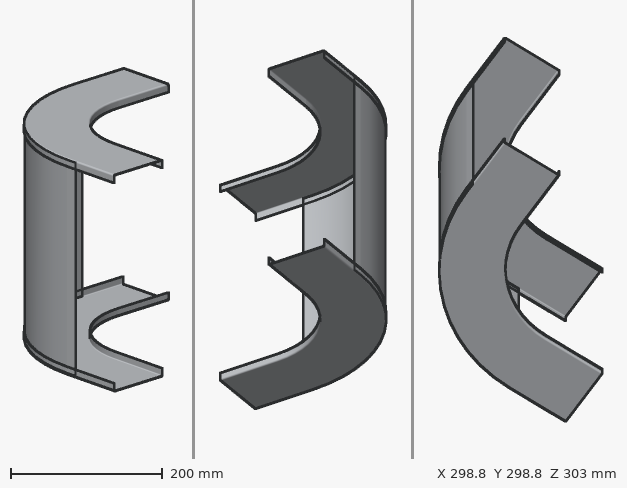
import cadquery as cq
import math

height = 303.0
span = 298.8
width = 88.0
bend_radius = 208.5
flange_height = 11.5
fold_radius = 2.5
sheet_thickness = 1.0
wall_straight = 15.0

channel_straight = span - bend_radius


def bend_prism(outer_inset, inner_inset, straight, bottom, top):
    """Vertical prism over a quarter bend that has a straight run at both ends.

    The insets are measured from the outer and inner sides of the channels.
    """
    outer_radius = bend_radius - outer_inset
    inner_radius = bend_radius - inner_inset
    run_end = bend_radius + straight
    outer_middle = bend_radius - outer_radius * math.sqrt(0.5)
    inner_middle = bend_radius - inner_radius * math.sqrt(0.5)
    return (
        cq.Workplane("XY", origin=(0, 0, bottom))
        .moveTo(outer_inset, run_end)
        .lineTo(outer_inset, bend_radius)
        .threePointArc((outer_middle, outer_middle), (bend_radius, outer_inset))
        .lineTo(run_end, outer_inset)
        .lineTo(run_end, inner_inset)
        .lineTo(bend_radius, inner_inset)
        .threePointArc((inner_middle, inner_middle), (inner_inset, bend_radius))
        .lineTo(inner_inset, run_end)
        .close()
        .extrude(top - bottom)
    )


def round_lower_sides(prism, radius):
    """Round the lower edges along both sides of a bend prism, leaving its two ends square."""
    lower_face = prism.faces("<Z")
    end_edges = prism.faces(">X or >Y").edges("<Z")
    side_edges = [
        edge for edge in lower_face.edges().vals()
        if not any(edge.isSame(end_edge) for end_edge in end_edges.vals())
    ]
    return prism.newObject(side_edges).fillet(radius)


def make_lower_channel():
    """Flat web at the bottom with an upright flange along each side, open at both ends."""
    outside = bend_prism(0, width, channel_straight, 0, flange_height)
    inside = bend_prism(
        sheet_thickness,
        width - sheet_thickness,
        channel_straight,
        sheet_thickness,
        flange_height,
    )
    outside = round_lower_sides(outside, fold_radius)
    inside = round_lower_sides(inside, fold_radius - sheet_thickness)
    return outside.cut(inside)


def make_curved_wall():
    """Curved sheet inside the outer flanges, standing between the folds of the two channels."""
    return bend_prism(
        sheet_thickness,
        2 * sheet_thickness,
        wall_straight,
        fold_radius,
        height - fold_radius,
    )


lower_channel = make_lower_channel()
upper_channel = lower_channel.mirror("XY", (0, 0, height / 2))

curved_wall = make_curved_wall()

result = cq.Compound.makeCompound([lower_channel.val(), upper_channel.val(), curved_wall.val()])